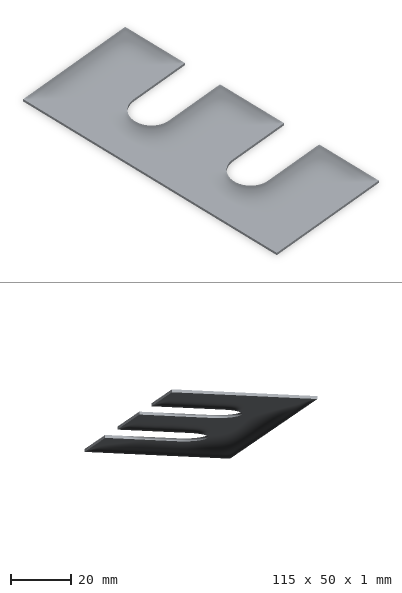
import cadquery as cq

length = 115.0
width = 50.0
thickness = 1.0

slot_width = 16.0
slot_depth = 33.0
slot_spacing = 45.0

slot_radius = slot_width / 2
back_edge = width / 2
slot_center_y = back_edge - slot_depth + slot_radius


def open_slot(center_x):
    """Cutter for one slot running from the back edge to a semicircular end."""
    left = center_x - slot_radius
    right = center_x + slot_radius
    return (
        cq.Workplane("XY")
        .moveTo(left, back_edge)
        .lineTo(left, slot_center_y)
        .threePointArc((center_x, back_edge - slot_depth), (right, slot_center_y))
        .lineTo(right, back_edge)
        .close()
        .extrude(thickness)
    )


result = cq.Workplane("XY").box(length, width, thickness, centered=(True, True, False))
for center_x in (-slot_spacing / 2, slot_spacing / 2):
    result = result.cut(open_slot(center_x))